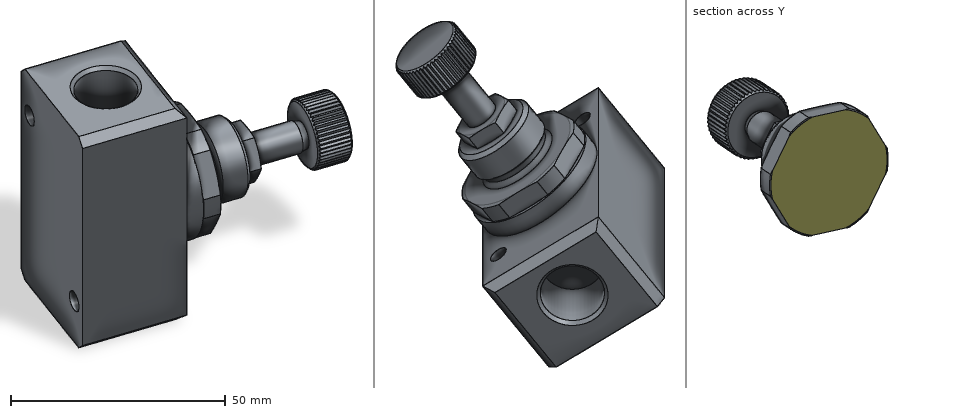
import cadquery as cq
import math


body_width = 33.0
body_height = 62.0
body_depth = 27.0
body_chamfer = 2.1

port_diameter = 14.95
port_mouth_diameter = 16.65
port_depth = 14.8
port_y = 14.0

mount_front_diameter = 5.1
mount_back_diameter = 4.45
mount_side_inset = 4.5
mount_end_inset = 12.0

total_length = 74.0
collar_length = 4.5
large_nut_length = 4.8
neck_start = 37.6
neck_end = 38.9
boss_end = 47.0
small_nut_length = 3.9
knob_length = 9.0
collar_end = body_depth + collar_length
large_nut_end = collar_end + large_nut_length
knob_start = total_length - knob_length

collar_diameter = 32.3
large_nut_flats = 30.05
large_nut_diameter = 32.0
small_nut_flats = 13.0
small_nut_corners = small_nut_flats / math.cos(math.pi / 6)
nut_chamfer = 0.2
boss_diameter = 20.0
boss_chamfer = 0.95
boss_back_chamfer_length = 0.7
neck_diameter = 17.7
neck_flare = 1.0
stem_diameter = 8.0
stem_relief_length = 1.8
stem_relief_depth = 0.5

knob_diameter = 17.55
knurl_count = 50
knurl_depth = 0.41
knob_chamfer = 0.7


def along_y(start):
    """Workplane facing +Y at the given station, with local x along -X and local y along +Z."""
    return cq.Workplane("XZ", origin=(0, start, 0)).transformed(rotate=(0, 180, 0))


def revolved(profile):
    """Close a half profile and turn it about the spindle axis."""
    return profile.close().revolve(360, (0, 0, 0), (0, 1, 0))


def countersunk_hole(plane, diameter, mouth_diameter, depth):
    """Cutter for a hole going against the plane's normal, with a 45 degree countersink."""
    sink = (mouth_diameter - diameter) / 2
    hole = plane.circle(diameter / 2).extrude(-depth)
    mouth = plane.circle(mouth_diameter / 2).extrude(-sink, taper=45)
    return hole.union(mouth)


def mounting_hole():
    """Cutter for a tapered hole along Y, from the front face to the back face of the body."""
    front = cq.Workplane("XZ").circle(mount_front_diameter / 2)
    return front.workplane(offset=-body_depth).circle(mount_back_diameter / 2).loft(ruled=True)


def make_body():
    """Chamfered block with a port in each end and two mounting holes."""
    body = cq.Workplane("XY").box(body_width, body_depth, body_height).translate((0, body_depth / 2, 0))
    body = body.edges("|Y").chamfer(body_chamfer)
    body = body.edges(">Y and |X").chamfer(body_chamfer)
    for side in (1, -1):
        port_plane = cq.Workplane(
            cq.Plane((0, port_y, side * body_height / 2), xDir=(1, 0, 0), normal=(0, 0, side))
        )
        body = body.cut(countersunk_hole(port_plane, port_diameter, port_mouth_diameter, port_depth))
        mount_x = -side * (body_width / 2 - mount_side_inset)
        mount_z = side * (body_height / 2 - mount_end_inset)
        body = body.cut(mounting_hole().translate((mount_x, 0, mount_z)))
    return body


def make_spindle():
    """Turned parts between the body and the knob."""
    collar_r = collar_diameter / 2
    boss_r = boss_diameter / 2
    neck_r = neck_diameter / 2
    stem_r = stem_diameter / 2
    relief_r = (stem_relief_length**2 + stem_relief_depth**2) / (2 * stem_relief_depth)
    return revolved(
        cq.Workplane("XY")
        .moveTo(0, body_depth)
        .lineTo(collar_r, body_depth)
        .lineTo(collar_r, collar_end)
        .lineTo(neck_r + neck_flare, collar_end)
        .lineTo(neck_r + neck_flare, large_nut_end)
        .lineTo(neck_r, neck_start)
        .lineTo(neck_r, neck_end)
        .lineTo(boss_r, neck_end + boss_back_chamfer_length)
        .lineTo(boss_r, boss_end - boss_chamfer)
        .lineTo(boss_r - boss_chamfer, boss_end)
        .lineTo(stem_r, boss_end)
        .lineTo(stem_r, knob_start - stem_relief_length)
        .radiusArc((stem_r - stem_relief_depth, knob_start), relief_r)
        .lineTo(0, knob_start)
    )


def chamfered_disc(start, end, radius, end_radius, chamfer):
    """Disc on the spindle axis, narrowing to the end radius at both faces."""
    return revolved(
        cq.Workplane("XY")
        .moveTo(0, start)
        .lineTo(end_radius, start)
        .lineTo(radius, start + chamfer)
        .lineTo(radius, end - chamfer)
        .lineTo(end_radius, end)
        .lineTo(0, end)
    )


def make_nut(start, length, flats, outer_diameter):
    """Hexagon nut with two flats square to Z, its corners turned down to the outer diameter."""
    corners = flats / math.cos(math.pi / 6)
    hexagon = along_y(start).polygon(6, corners).extrude(length)
    blank = chamfered_disc(start, start + length, outer_diameter / 2, flats / 2, nut_chamfer)
    return hexagon.intersect(blank)


def make_knob():
    """Knob with straight V-shaped knurls, pointed at crest and root."""
    crest_r = knob_diameter / 2
    root_r = crest_r - knurl_depth
    points = []
    for step in range(2 * knurl_count):
        radius = crest_r if step % 2 else root_r
        angle = math.pi * step / knurl_count
        points.append((radius * math.cos(angle), radius * math.sin(angle)))
    knurled = along_y(knob_start).polyline(points).close().extrude(knob_length)
    blank = chamfered_disc(knob_start, total_length, crest_r, crest_r - knob_chamfer, knob_chamfer)
    return knurled.intersect(blank)


result = (
    make_body()
    .union(make_spindle())
    .union(make_nut(collar_end, large_nut_length, large_nut_flats, large_nut_diameter))
    .union(make_nut(boss_end, small_nut_length, small_nut_flats, small_nut_corners))
    .union(make_knob())
)